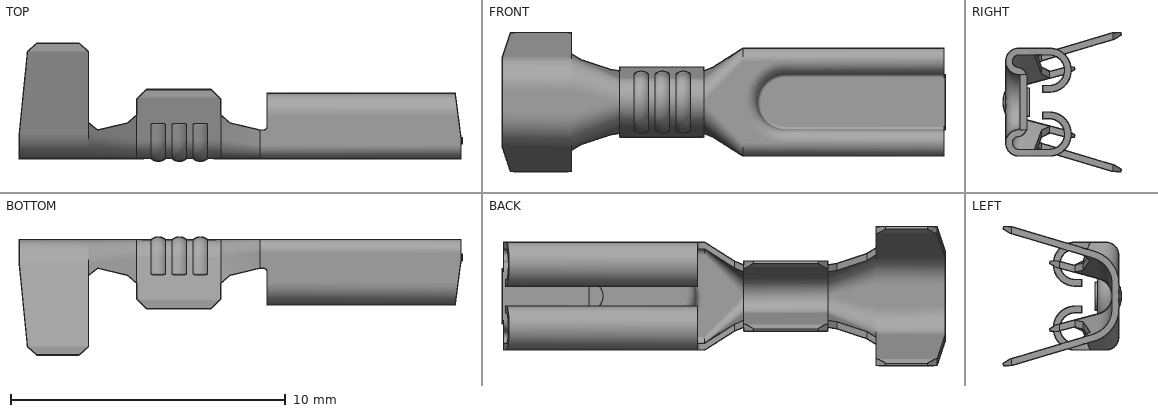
import cadquery as cq
import math

SHEET = 0.25

INSULATION_END = 2.53
WIRE_START = 4.28
WIRE_END = 7.34
RECEPTACLE_START = 8.76
ROLL_START = 9.02
RECEPTACLE_END = 16.08

SIDE_SPAN = 8.0

TIP_BEVEL = 0.28
TIP_THICKNESS = 0.10
INSULATION_BEND = 73.4
INSULATION_FLAT = 0.45
INSULATION_RADIUS = 1.23
INSULATION_TOP = 4.22
INSULATION_SHOULDER = 3.90
INSULATION_LEAN = 0.30
INSULATION_CHAMFER = 0.36
WIRE_BEND = 75.0
WIRE_RADIUS = 0.90
WIRE_TOP = 2.53
WIRE_CHAMFER = 0.36

BEAD_COUNT = 3
BEAD_PITCH = 0.765
BEAD_WIDTH = 0.52
BEAD_HEIGHT = 0.10
BEAD_ROOT = 0.10
BEAD_TOP = 1.286
BEAD_END_RADIUS = 0.04
BEAD_OFFSET = 0.02

NECK_FLAT = 0.02
NECK_BLANK_TOP = 2.0
NECK_LOW = 1.05
NECK_HIGH = 1.31
NECK_SHOULDER = 1.60
NECK_CORNER = 0.33
ENTRY_RADIUS = 0.13

HALF_WIDTH = 1.967
WALL_BEND = 90.0
CORNER_RADIUS = 0.48
ROLL_CENTRE_Y = 1.585
ROLL_RADIUS = 0.805
LIP_Y = 1.35
END_SLOPE_START = 0.79
END_SETBACK = 0.21

PANEL_CENTRE_X = 10.32
PANEL_DEPTH = 0.53
PANEL_FOOT_RADIUS = 0.12
TONGUE_LENGTH = 0.05
STUD_X = 12.97
STUD_RADIUS = 0.515
STUD_HEIGHT = 0.09

PANEL_RIM = HALF_WIDTH - CORNER_RADIUS
PANEL_TOP = PANEL_DEPTH + SHEET


def cross_plane(x):
    """Plane across the part at x: its first axis is Y, its second is Z."""
    return cq.Workplane("YZ", origin=(x, 0, 0))


def bend_point(flat, radius, offset, angle):
    """Point on a floor bend, offset inwards from the outer skin."""
    turn = math.radians(angle)
    inner = radius - offset
    return radius - inner * math.cos(turn), flat + inner * math.sin(turn)


def arm_point(flat, radius, bend, offset, length):
    """Point on a straight arm, a given length past the end of its bend."""
    turn = math.radians(bend)
    y, z = bend_point(flat, radius, offset, bend)
    return y + length * math.sin(turn), z + length * math.cos(turn)


def mirrored(point):
    """The same point on the other side of Z = 0."""
    return point[0], -point[1]


def arm_length(radius, bend, offset, top):
    """Length of arm that takes the skin at this offset up to the given Y."""
    start, _ = bend_point(0, radius, offset, bend)
    return (top - start) / math.sin(math.radians(bend))


def skin(path, flat, radius, bend, offset, side):
    """Draw a skin's bends and floor, from the arm on the given side of Z = 0 to the other arm."""
    for sign, angles in ((side, (bend, bend / 2, 0)), (-side, (0, bend / 2, bend))):
        start, middle, end = [bend_point(flat, radius, offset, angle) for angle in angles]
        if sign == side or flat > 0:
            path = path.lineTo(start[0], sign * start[1])
        path = path.threePointArc((middle[0], sign * middle[1]), (end[0], sign * end[1]))
    return path


def channel(workplane, flat, radius, bend, top):
    """Closed outline of a U channel whose arm tips are bevelled on both skins."""
    tip_offsets = ((SHEET - TIP_THICKNESS) / 2, (SHEET + TIP_THICKNESS) / 2)
    length = arm_length(radius, bend, tip_offsets[1], top)
    outer_end = arm_point(flat, radius, bend, 0, length - TIP_BEVEL)
    inner_end = arm_point(flat, radius, bend, SHEET, length - TIP_BEVEL)
    outer_tip, inner_tip = [arm_point(flat, radius, bend, offset, length) for offset in tip_offsets]
    path = workplane.moveTo(*mirrored(outer_tip)).lineTo(*mirrored(outer_end))
    path = skin(path, flat, radius, bend, 0, -1)
    for point in (outer_end, outer_tip, inner_tip, inner_end):
        path = path.lineTo(*point)
    path = skin(path, flat, radius, bend, SHEET, 1)
    return path.lineTo(*mirrored(inner_end)).lineTo(*mirrored(inner_tip)).close()


def side_prism(points):
    """Prism across the whole part from an X-Y outline."""
    return cq.Workplane("XY").polyline(points).close().extrude(SIDE_SPAN / 2, both=True)


def insulation_barrel():
    blank = channel(
        cross_plane(0),
        INSULATION_FLAT,
        INSULATION_RADIUS,
        INSULATION_BEND,
        INSULATION_TOP,
    ).extrude(INSULATION_END)
    bend_top, _ = bend_point(INSULATION_FLAT, INSULATION_RADIUS, 0, INSULATION_BEND)
    outline = side_prism([
        (0, 0),
        (0, bend_top),
        (INSULATION_LEAN, INSULATION_SHOULDER),
        (INSULATION_LEAN + INSULATION_CHAMFER, INSULATION_TOP),
        (INSULATION_END - INSULATION_CHAMFER, INSULATION_TOP),
        (INSULATION_END, INSULATION_SHOULDER),
        (INSULATION_END, 0),
    ])
    return blank.intersect(outline)


def wire_barrel():
    blank = channel(
        cross_plane(WIRE_START), 0, WIRE_RADIUS, WIRE_BEND, WIRE_TOP
    ).extrude(WIRE_END - WIRE_START)
    shoulder = WIRE_TOP - WIRE_CHAMFER
    outline = side_prism([
        (WIRE_START, 0),
        (WIRE_START, shoulder),
        (WIRE_START + WIRE_CHAMFER, WIRE_TOP),
        (WIRE_END - WIRE_CHAMFER, WIRE_TOP),
        (WIRE_END, shoulder),
        (WIRE_END, 0),
    ])
    return blank.intersect(outline)


def bead(x):
    """Rounded bead that wraps the outside of the wire barrel and ends level on its wings."""
    bend_end = bend_point(0, WIRE_RADIUS, 0, WIRE_BEND)
    run = arm_length(WIRE_RADIUS, WIRE_BEND, 0, BEAD_TOP + SHEET)
    arm_end = arm_point(0, WIRE_RADIUS, WIRE_BEND, 0, run)
    path = (
        cross_plane(x)
        .moveTo(*mirrored(arm_end))
        .lineTo(*mirrored(bend_end))
        .threePointArc((0, 0), bend_end)
        .lineTo(*arm_end)
    )
    bend = math.radians(WIRE_BEND)
    start = cq.Plane(
        origin=(x, arm_end[0], -arm_end[1]),
        xDir=(1, 0, 0),
        normal=(0, -math.sin(bend), math.cos(bend)),
    )
    half = BEAD_WIDTH / 2
    section = (
        cq.Workplane(start)
        .moveTo(-half, BEAD_ROOT)
        .lineTo(-half, 0)
        .threePointArc((0, -BEAD_HEIGHT), (half, 0))
        .lineTo(half, BEAD_ROOT)
        .close()
    )
    below_top = side_prism([
        (x - BEAD_WIDTH, -BEAD_WIDTH),
        (x - BEAD_WIDTH, BEAD_TOP),
        (x + BEAD_WIDTH, BEAD_TOP),
        (x + BEAD_WIDTH, -BEAD_WIDTH),
    ])
    level_bead = section.sweep(path).intersect(below_top)
    return level_bead.faces(">Y").edges("not %LINE").fillet(BEAD_END_RADIUS)


def neck(start, start_shape, end, end_shape):
    """Ruled channel that changes from one cross-section to another."""
    path = channel(cross_plane(start), *start_shape, NECK_BLANK_TOP)
    path = channel(path.workplane(offset=end - start), *end_shape, NECK_BLANK_TOP)
    return path.loft(ruled=True)


def necks():
    wire_shape = (NECK_FLAT, WIRE_RADIUS, WIRE_BEND)
    insulation_shape = (INSULATION_FLAT, INSULATION_RADIUS, INSULATION_BEND)
    receptacle_shape = (PANEL_RIM, CORNER_RADIUS, WALL_BEND)
    rear = neck(INSULATION_END, insulation_shape, WIRE_START, wire_shape)
    rear_outline = side_prism([
        (INSULATION_END, 0),
        (INSULATION_END, NECK_HIGH),
        (INSULATION_END + NECK_CORNER, NECK_LOW),
        (WIRE_START - NECK_CORNER, NECK_HIGH),
        (WIRE_START, NECK_SHOULDER),
        (WIRE_START, 0),
    ])
    front = neck(WIRE_END, wire_shape, RECEPTACLE_START, receptacle_shape)
    front_outline = side_prism([
        (WIRE_END, 0),
        (WIRE_END, NECK_SHOULDER),
        (WIRE_END + NECK_CORNER, NECK_HIGH),
        (RECEPTACLE_START, NECK_LOW),
        (RECEPTACLE_START, 0),
    ])
    return rear.intersect(rear_outline), front.intersect(front_outline)


def receptacle_entry():
    """Short open channel ahead of the rolls, with a fillet rising to them."""
    blank = channel(
        cross_plane(RECEPTACLE_START), PANEL_RIM, CORNER_RADIUS, WALL_BEND, NECK_BLANK_TOP
    ).extrude(ROLL_START - RECEPTACLE_START)
    clearance = (
        cq.Workplane("XY")
        .moveTo(RECEPTACLE_START, NECK_LOW)
        .lineTo(ROLL_START - ENTRY_RADIUS, NECK_LOW)
        .radiusArc((ROLL_START, NECK_LOW + ENTRY_RADIUS), -ENTRY_RADIUS)
        .lineTo(ROLL_START, NECK_BLANK_TOP)
        .lineTo(RECEPTACLE_START, NECK_BLANK_TOP)
        .close()
        .extrude(SIDE_SPAN / 2, both=True)
    )
    return blank.cut(clearance)


def roll(side):
    """Side wall edge rolled inwards over half a turn, with a short straight lip."""
    centre_z = HALF_WIDTH - ROLL_RADIUS
    inner_radius = ROLL_RADIUS - SHEET
    inner_wall = HALF_WIDTH - SHEET
    lip_outer = centre_z - ROLL_RADIUS
    return (
        cross_plane(ROLL_START)
        .moveTo(LIP_Y, side * lip_outer)
        .lineTo(ROLL_CENTRE_Y, side * lip_outer)
        .threePointArc(
            (ROLL_CENTRE_Y + ROLL_RADIUS, side * centre_z),
            (ROLL_CENTRE_Y, side * HALF_WIDTH),
        )
        .lineTo(ROLL_CENTRE_Y, side * inner_wall)
        .threePointArc(
            (ROLL_CENTRE_Y + inner_radius, side * centre_z),
            (ROLL_CENTRE_Y, side * (lip_outer + SHEET)),
        )
        .lineTo(LIP_Y, side * (lip_outer + SHEET))
        .close()
        .extrude(RECEPTACLE_END - ROLL_START)
    )


def receptacle_channel():
    """Floor, bends and side walls below the rolls."""
    start = cross_plane(ROLL_START)
    blank = channel(start, PANEL_RIM, CORNER_RADIUS, WALL_BEND, ROLL_CENTRE_Y + TIP_BEVEL)
    limits = side_prism([
        (ROLL_START, 0),
        (ROLL_START, ROLL_CENTRE_Y),
        (RECEPTACLE_END, ROLL_CENTRE_Y),
        (RECEPTACLE_END, 0),
    ])
    return blank.extrude(RECEPTACLE_END - ROLL_START).intersect(limits)


def end_slope():
    """Material beyond the leaning mouth of the receptacle."""
    roll_top = ROLL_CENTRE_Y + ROLL_RADIUS
    return side_prism([
        (RECEPTACLE_END, END_SLOPE_START),
        (RECEPTACLE_END, roll_top),
        (RECEPTACLE_END - END_SETBACK, roll_top),
    ])


def panel_half(workplane, lift):
    """Half profile under the panel's S-curved skin, a given lift above its outer skin."""
    rim_radius = CORNER_RADIUS - lift
    foot_radius = PANEL_FOOT_RADIUS + lift
    radius_sum = CORNER_RADIUS + PANEL_FOOT_RADIUS
    turn = math.acos(1 - PANEL_DEPTH / radius_sum)
    foot = PANEL_RIM - radius_sum * math.sin(turn)
    top = PANEL_DEPTH + lift

    def rim_point(angle):
        return PANEL_RIM - rim_radius * math.sin(angle), CORNER_RADIUS - rim_radius * math.cos(angle)

    def foot_point(angle):
        return foot + foot_radius * math.sin(angle), top - foot_radius * (1 - math.cos(angle))

    path = workplane.lineTo(PANEL_RIM, 0)
    if lift > 0:
        path = path.lineTo(PANEL_RIM, lift)
    path = path.threePointArc(rim_point(turn / 2), rim_point(turn))
    path = path.threePointArc(foot_point(turn / 2), (foot, top))
    return path.lineTo(0, top).close()


def panel_solid(lift):
    """Solid with a round end that fills the panel up to a given lift above its outer skin."""
    start = cq.Workplane("ZY", origin=(PANEL_CENTRE_X, 0, 0))
    straight = panel_half(start, lift).extrude(PANEL_CENTRE_X - RECEPTACLE_END)
    round_end = panel_half(start, lift).revolve(360, (0, 0), (0, 1))
    return round_end.union(straight).union(straight.mirror("XY"))


def tongue():
    """Edge of the panel that stands proud of the receptacle mouth."""
    half_width = PANEL_RIM - CORNER_RADIUS
    return (
        cross_plane(RECEPTACLE_END)
        .moveTo(PANEL_DEPTH, -half_width)
        .lineTo(PANEL_DEPTH, half_width)
        .lineTo(PANEL_TOP, half_width)
        .lineTo(PANEL_TOP, -half_width)
        .close()
        .extrude(TONGUE_LENGTH)
    )


def contact_stud():
    """Half disc through the panel, flush outside and proud inside, flat towards the mouth."""
    return (
        cq.Workplane("ZX", origin=(0, PANEL_DEPTH, 0))
        .moveTo(-STUD_RADIUS, STUD_X)
        .threePointArc((0, STUD_X - STUD_RADIUS), (STUD_RADIUS, STUD_X))
        .close()
        .extrude(SHEET + STUD_HEIGHT)
    )


def receptacle():
    body = receptacle_channel().union(receptacle_entry())
    for side in (-1, 1):
        body = body.union(roll(side))
    body = body.union(panel_solid(SHEET)).cut(panel_solid(0))
    body = body.cut(end_slope()).union(tongue())
    return body.union(contact_stud(), clean=False)


result = receptacle()
for section in (*necks(), insulation_barrel(), wire_barrel()):
    result = result.union(section, clean=False)
first_bead = (WIRE_START + WIRE_END) / 2 + BEAD_OFFSET - (BEAD_COUNT - 1) / 2 * BEAD_PITCH
for index in range(BEAD_COUNT):
    result = result.union(bead(first_bead + index * BEAD_PITCH), clean=False)